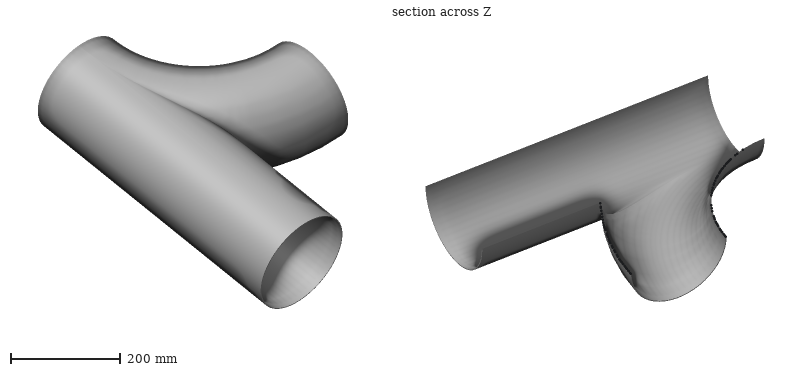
import cadquery as cq

OUTER_DIAMETER = 204.0
INNER_DIAMETER = 200.0
RUN_LENGTH = 600.0
BEND_RADIUS = 300.0
BEND_ANGLE = 90.0

SEAM_REACH = RUN_LENGTH + OUTER_DIAMETER
SEAM_DEPTH = 2 * OUTER_DIAMETER


def pipe_section():
    """Annular pipe section at the shared inlet, facing +X."""
    return cq.Workplane("YZ").circle(OUTER_DIAMETER / 2).circle(INNER_DIAMETER / 2)


def straight_run():
    """Straight pipe along +X."""
    return pipe_section().extrude(RUN_LENGTH)


def branch_elbow():
    """Elbow that leaves the shared inlet along +X and turns to face +Y."""
    return pipe_section().revolve(BEND_ANGLE, (BEND_RADIUS, 0, 0), (BEND_RADIUS, 1, 0))


def branch_side():
    """Prism on the branch side of the seam.

    Points equally far from the two centrelines lie on the parabola
    y = x^2 / (4 * BEND_RADIUS), so pipes of equal diameter meet exactly there.
    A parabola is a quadratic Bezier curve whose middle control point is where
    its end tangents cross.
    """
    rim_y = SEAM_REACH**2 / (4 * BEND_RADIUS)
    return (
        cq.Workplane("XY", origin=(0, 0, -SEAM_DEPTH / 2))
        .moveTo(-SEAM_REACH, rim_y)
        .bezier([(-SEAM_REACH, rim_y), (0, -rim_y), (SEAM_REACH, rim_y)])
        .close()
        .extrude(SEAM_DEPTH)
    )


run = straight_run().cut(branch_side())
branch = branch_elbow().intersect(branch_side())
result = run.union(branch)